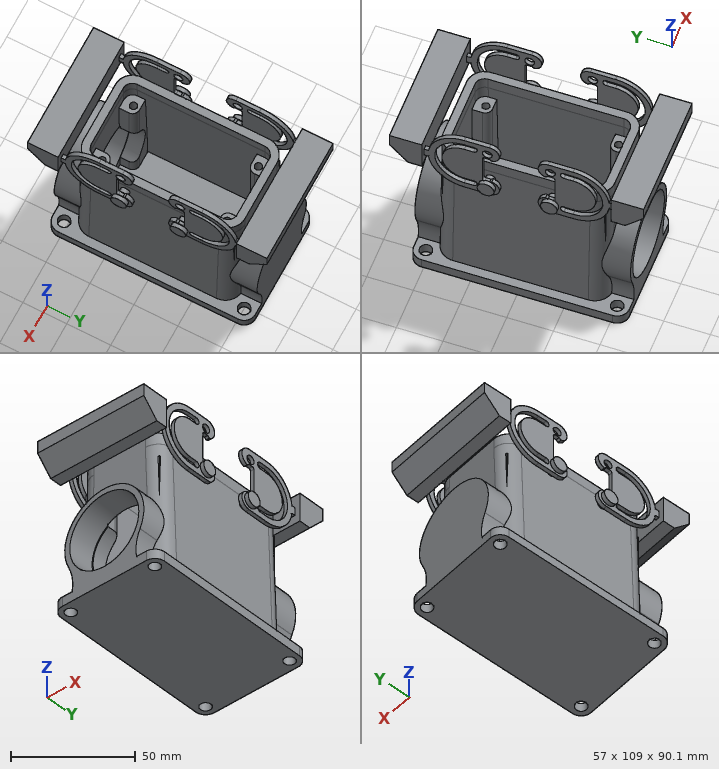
import cadquery as cq
import math

base_x = 55.6
base_y = 92.4
base_height = 4.8
base_corner_radius = 5.2
mount_hole_radius = 2.7

foot_x = 47.6
rim_x = 43.0
wall_y = 73.6
wall_thickness = 3.6
cavity_draft_y = 0.5
wall_corner_radius = 7.7
rim_bottom = 68.3
rim_top = 74.0

post_inner_x = 9.9
post_inner_y = 25.4
post_corner_radius = 3.2
post_top = 61.8
post_hole_x = 13.5
post_hole_y = 28.5
post_hole_radius = 1.6
post_hole_depth = 10.9

boss_radius = 21.3
boss_foot_half = 17.0
boss_flare_radius = 22.3
bore_z = 27.2
bore_radius = 18.5
inner_bore_radius = 18.0

lever_z = 74.6
plate_thickness = 1.9
plate_inner_x = 24.0
plate_edge_y = 15.5
plate_arc_y = 23.3
plate_arc_radius = 15.5
slot_outer_radius = 12.6
slot_inner_radius = 9.6
slot_end_y = 19.4
hook_y = 12.6
hook_radius = 4.4
hook_tip_angle = math.radians(255)
notch_z = 7.7
notch_fillet = 0.9
notch_end_y = 12.5
pin_y = 13.5
pin_offset_z = 10.6
neck_half_height = 2.0
bar_x = 57.0
bar_inner_y = 40.5
bar_outer_y = 54.5
bar_bottom_y = 46.5
bar_bottom = 68.3
bar_edge_z = 76.6
bar_top = 82.6

pin_radius = 2.1
pin_head_radius = 3.6
pin_head_x = base_x / 2
pin_z = lever_z - pin_offset_z

plate_outer_x = plate_inner_x + plate_thickness
inner_wall_y = wall_y / 2 - wall_thickness
cavity_foot_half_y = inner_wall_y - cavity_draft_y
mid_wall_x = rim_x / 2 - wall_thickness / 2
mid_wall_y = wall_y / 2 - wall_thickness / 2
hook_z = plate_arc_radius - hook_radius
sides = (-1, 1)
corners = [(sx, sy) for sx in sides for sy in sides]


def make_outer_column():
    """Wall block on the flange: its X sides lean in up to the rim band, then rise straight."""
    profile = [
        (-foot_x / 2, base_height),
        (foot_x / 2, base_height),
        (rim_x / 2, rim_bottom),
        (rim_x / 2, rim_top),
        (-rim_x / 2, rim_top),
        (-rim_x / 2, rim_bottom),
    ]
    block = cq.Workplane("XZ").polyline(profile).close().extrude(wall_y / 2, both=True)
    return block.edges("not #Z").fillet(wall_corner_radius)


def make_cavity():
    """Cavity that widens in X with the outer wall and narrows slightly in Y down to the floor."""
    inset = 2 * wall_thickness
    corner = wall_corner_radius - wall_thickness
    foot = cq.Sketch().rect(foot_x - inset, 2 * cavity_foot_half_y).vertices().fillet(corner)
    rim = cq.Sketch().rect(rim_x - inset, 2 * inner_wall_y).vertices().fillet(corner)
    foot_section = foot.moved(cq.Location(cq.Vector(0, 0, base_height)))
    rim_section = rim.moved(cq.Location(cq.Vector(0, 0, rim_bottom)))
    tapered = cq.Workplane("XY").placeSketch(foot_section, rim_section).loft(ruled=True)
    band = cq.Workplane("XY").placeSketch(rim_section).extrude(rim_top - rim_bottom)
    return tapered.union(band)


def make_base():
    """Flange plate with a mounting hole centred in each rounded corner."""
    hole_x = base_x / 2 - base_corner_radius
    hole_y = base_y / 2 - base_corner_radius
    return (
        cq.Workplane("XY")
        .rect(base_x, base_y)
        .extrude(base_height)
        .edges("|Z")
        .fillet(base_corner_radius)
        .faces(">Z")
        .workplane()
        .pushPoints([(sx * hole_x, sy * hole_y) for sx, sy in corners])
        .hole(2 * mount_hole_radius)
    )


def make_boss(side):
    """Round boss that narrows through concave arcs into a foot standing on the flange."""
    flare_x = boss_foot_half + boss_flare_radius
    flare_drop = math.sqrt((boss_radius + boss_flare_radius) ** 2 - flare_x ** 2)
    flare_z = bore_z - flare_drop
    angle = math.atan2(flare_drop, flare_x)
    tangent_x = boss_radius * math.cos(angle)
    tangent_z = bore_z - boss_radius * math.sin(angle)
    middle_x = flare_x - boss_flare_radius * math.cos(angle / 2)
    middle_z = flare_z + boss_flare_radius * math.sin(angle / 2)
    foot_x_half = flare_x - math.sqrt(boss_flare_radius ** 2 - (flare_z - base_height) ** 2)
    outline = (
        cq.Workplane("XZ")
        .moveTo(-foot_x_half, base_height)
        .lineTo(foot_x_half, base_height)
        .threePointArc((middle_x, middle_z), (tangent_x, tangent_z))
        .threePointArc((0, bore_z + boss_radius), (-tangent_x, tangent_z))
        .threePointArc((-middle_x, middle_z), (-foot_x_half, base_height))
        .close()
    )
    boss = outline.extrude(base_y / 2 - inner_wall_y).translate((0, -inner_wall_y, 0))
    return boss if side < 0 else boss.mirror("XZ")


def make_post(sx, sy):
    """Corner post with one rounded edge facing the cavity and a blind screw hole in its top."""
    size_x = mid_wall_x - post_inner_x
    size_y = mid_wall_y - post_inner_y
    post = (
        cq.Workplane("XY")
        .box(size_x, size_y, post_top - base_height, centered=False)
        .edges("|Z and <X and <Y")
        .fillet(post_corner_radius)
        .translate((post_inner_x, post_inner_y, base_height))
    )
    hole = (
        cq.Workplane("XY")
        .center(post_hole_x, post_hole_y)
        .circle(post_hole_radius)
        .extrude(post_hole_depth)
        .translate((0, 0, post_top - post_hole_depth))
    )
    post = post.cut(hole)
    if sx < 0:
        post = post.mirror("YZ")
    if sy < 0:
        post = post.mirror("XZ")
    return post


def bore_cylinder(radius, inner_y):
    """Cylinder along Y from the outer face of the -Y boss in to y = -inner_y."""
    return (
        cq.Workplane("XZ", origin=(0, -inner_y, bore_z))
        .circle(radius)
        .extrude(base_y / 2 - inner_y)
    )


def make_pin(sx, sy):
    """Lever pin rooted in the long wall: a thin shaft through the plate and a wider head."""

    def rod(radius, start_x, end_x):
        return (
            cq.Workplane("YZ", origin=(start_x, sy * pin_y, pin_z))
            .circle(radius)
            .extrude(end_x - start_x)
        )

    shaft = rod(pin_radius, mid_wall_x, plate_outer_x)
    pin = shaft.union(rod(pin_head_radius, plate_outer_x, pin_head_x))
    return pin if sx > 0 else pin.mirror("YZ")


def make_housing():
    """Flange, walls, cable bosses, screw posts and lever pins."""
    body = make_base().union(make_outer_column())
    for side in sides:
        body = body.union(make_boss(side))
    body = body.cut(make_cavity())
    for sx, sy in corners:
        body = body.union(make_post(sx, sy))
    body = body.cut(bore_cylinder(bore_radius, cavity_foot_half_y))
    body = body.cut(bore_cylinder(inner_bore_radius, post_inner_y))
    for sx, sy in corners:
        body = body.union(make_pin(sx, sy))
    return body


def make_lever_plate():
    """C-shaped plate on the +X, +Y side: one half drawn about z = 0, mirrored and lifted."""
    tip_y = hook_y + hook_radius * math.cos(hook_tip_angle)
    tip_z = hook_z + hook_radius * math.sin(hook_tip_angle)
    diagonal = math.sqrt(0.5)
    fillet_y = plate_edge_y - notch_fillet * (1 - diagonal)
    fillet_z = notch_z - notch_fillet * (1 - diagonal)
    outline = (
        cq.Workplane("YZ", origin=(plate_inner_x, 0, 0))
        .moveTo(plate_edge_y, 0)
        .lineTo(plate_edge_y, notch_z - notch_fillet)
        .threePointArc((fillet_y, fillet_z), (plate_edge_y - notch_fillet, notch_z))
        .lineTo(notch_end_y, notch_z)
        .lineTo(tip_y, tip_z)
        .threePointArc((hook_y - hook_radius, hook_z), (hook_y, plate_arc_radius))
        .lineTo(plate_arc_y, plate_arc_radius)
        .threePointArc(
            (plate_arc_y + plate_arc_radius * diagonal, plate_arc_radius * diagonal),
            (plate_arc_y + plate_arc_radius, 0),
        )
        .close()
    )
    slot_mid_z = (slot_outer_radius + slot_inner_radius) / 2
    slot_end_radius = (slot_outer_radius - slot_inner_radius) / 2
    slot = (
        cq.Workplane("YZ", origin=(plate_inner_x, 0, 0))
        .moveTo(plate_arc_y + slot_outer_radius, 0)
        .threePointArc(
            (plate_arc_y + slot_outer_radius * diagonal, slot_outer_radius * diagonal),
            (plate_arc_y, slot_outer_radius),
        )
        .lineTo(slot_end_y, slot_outer_radius)
        .threePointArc((slot_end_y - slot_end_radius, slot_mid_z), (slot_end_y, slot_inner_radius))
        .lineTo(plate_arc_y, slot_inner_radius)
        .threePointArc(
            (plate_arc_y + slot_inner_radius * diagonal, slot_inner_radius * diagonal),
            (plate_arc_y + slot_inner_radius, 0),
        )
        .close()
    )
    hole = cq.Workplane("YZ", origin=(plate_inner_x, pin_y, pin_offset_z)).circle(pin_radius)
    half = outline.extrude(plate_thickness).cut(slot.extrude(plate_thickness))
    half = half.cut(hole.extrude(plate_thickness))
    plate = half.union(half.mirror("XY"))
    neck_start_y = plate_arc_y + (plate_arc_radius + slot_outer_radius) / 2
    neck = cq.Workplane("XY").box(
        plate_thickness,
        bar_inner_y - neck_start_y,
        2 * neck_half_height,
        centered=(False, False, True),
    )
    plate = plate.union(neck.translate((plate_inner_x, neck_start_y, 0)))
    return plate.translate((0, 0, lever_z))


def make_lever(side):
    """Handle bar with a sloped lower outer edge, carried by two mirrored plates."""
    bar = (
        cq.Workplane("YZ")
        .polyline(
            [
                (bar_inner_y, bar_bottom),
                (bar_bottom_y, bar_bottom),
                (bar_outer_y, bar_edge_z),
                (bar_outer_y, bar_top),
                (bar_inner_y, bar_top),
            ]
        )
        .close()
        .extrude(bar_x / 2, both=True)
    )
    plate = make_lever_plate()
    lever = bar.union(plate).union(plate.mirror("YZ"))
    return lever if side > 0 else lever.mirror("XZ")


housing = make_housing().union(make_lever(1))
front_lever = make_lever(-1)

result = cq.Compound.makeCompound([housing.solids().val(), front_lever.solids().val()])